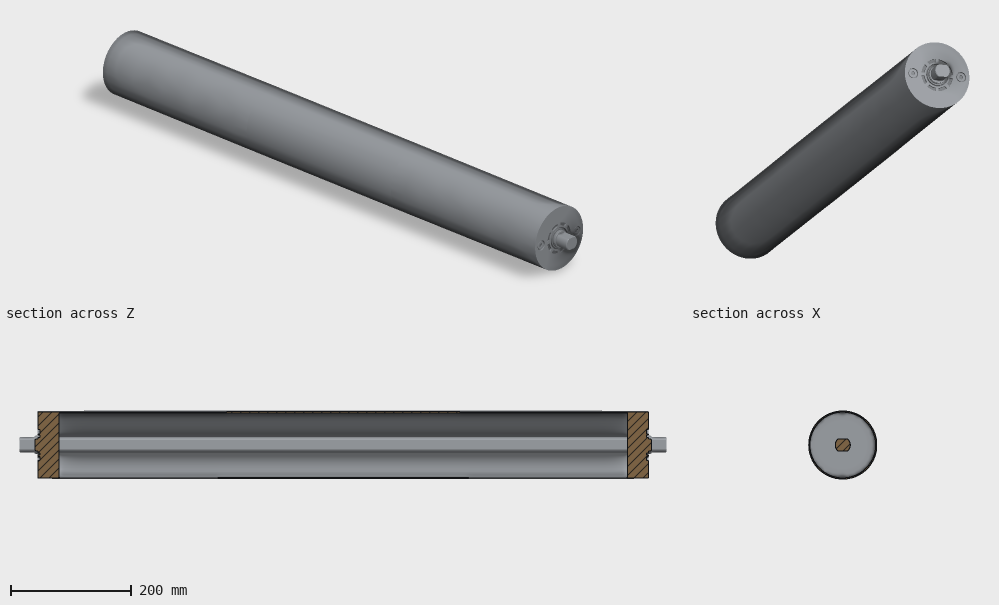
import cadquery as cq

shaft_length = 1070.0
body_length = 1010.0
crown_diameter = 113.0
end_diameter = 112.0
flange_width = 4.0

bore_diameter = 108.0
head_depth = 35.0

shaft_diameter = 26.0
flat_height = 20.0
tip_chamfer = 1.0

collar_diameter = 30.0
collar_height = 5.0
collar_base_height = 3.0
collar_tip_diameter = 29.0
groove_inner_diameter = 34.0
groove_outer_diameter = 39.0
groove_depth = 3.0

pocket_count = 8
pocket_inner_diameter = 44.0
pocket_outer_diameter = 55.0
pocket_depth = 3.0
rib_width = 5.0

screw_offset = 42.0
screw_hole_diameter = 17.0
screw_head_diameter = 14.0
screw_hole_depth = 3.0
screw_head_height = 2.0
socket_sides = 6
socket_corner_diameter = 7.0

half_shaft = shaft_length / 2
half_body = body_length / 2
half_crown = body_length / 6
half_tube = half_body - flange_width
end_radius = end_diameter / 2
crown_radius = crown_diameter / 2


def cylinder(x_start, length, diameter, y=0.0):
    """Solid cylinder parallel to X, starting at x_start and growing towards +X."""
    return cq.Workplane("YZ", origin=(x_start, y, 0)).circle(diameter / 2).extrude(length)


def crowned_body():
    """Solid roller with a straight middle third and outer thirds tapering to the end flanges."""
    profile = [
        (-half_body, 0),
        (-half_body, end_radius),
        (-half_tube, end_radius),
        (-half_crown, crown_radius),
        (half_crown, crown_radius),
        (half_tube, end_radius),
        (half_body, end_radius),
        (half_body, 0),
    ]
    return cq.Workplane("XY").polyline(profile).close().revolve(360, (0, 0, 0), (1, 0, 0))


def shaft():
    """Chamfered round shaft with flats facing up and down."""
    bar = cylinder(-half_shaft, shaft_length, shaft_diameter).edges().chamfer(tip_chamfer)
    return bar.intersect(cq.Workplane("XY").box(shaft_length, shaft_diameter, flat_height))


def sunk_ring(inner_diameter, outer_diameter, depth):
    """Annulus reaching from the +X end face down to the given depth."""
    floor = half_body - depth
    return cylinder(floor, depth, outer_diameter).cut(cylinder(floor, depth, inner_diameter))


def pocket_ring():
    """Ring of pockets separated by radial ribs, sunk into the +X end cap."""
    floor = half_body - pocket_depth
    ring = sunk_ring(pocket_inner_diameter, pocket_outer_diameter, pocket_depth)
    rib = cq.Workplane("XY").box(pocket_depth, pocket_outer_diameter, rib_width)
    rib = rib.translate((floor + pocket_depth / 2, 0, 0))
    for i in range(pocket_count // 2):
        ring = ring.cut(rib.rotate((0, 0, 0), (1, 0, 0), i * 360 / pocket_count))
    return ring


def end_recesses():
    """All recesses of the +X end cap."""
    groove = sunk_ring(groove_inner_diameter, groove_outer_diameter, groove_depth)
    recesses = pocket_ring().union(groove)
    floor = half_body - screw_hole_depth
    for y in (-screw_offset, screw_offset):
        hole = cylinder(floor, screw_hole_depth, screw_hole_diameter, y)
        head = cylinder(floor, screw_head_height, screw_head_diameter, y)
        socket = head.faces(">X").workplane().polygon(socket_sides, socket_corner_diameter)
        head = socket.cutBlind(-screw_head_height)
        recesses = recesses.union(hole.cut(head))
    return recesses


def end_collar():
    """Stepped seal collar standing on the +X end cap."""
    base = cylinder(half_body, collar_base_height, collar_diameter)
    return base.union(cylinder(half_body, collar_height, collar_tip_diameter))


def on_both_ends(feature):
    """Feature of the +X end together with its mirror image at the -X end."""
    return feature.union(feature.mirror("YZ"))


def cavity():
    """Closed space inside the tube between the two heads."""
    cavity_length = body_length - 2 * head_depth
    return cylinder(-cavity_length / 2, cavity_length, bore_diameter)


result = crowned_body().cut(cavity()).cut(on_both_ends(end_recesses()))
result = result.union(on_both_ends(end_collar())).union(shaft())